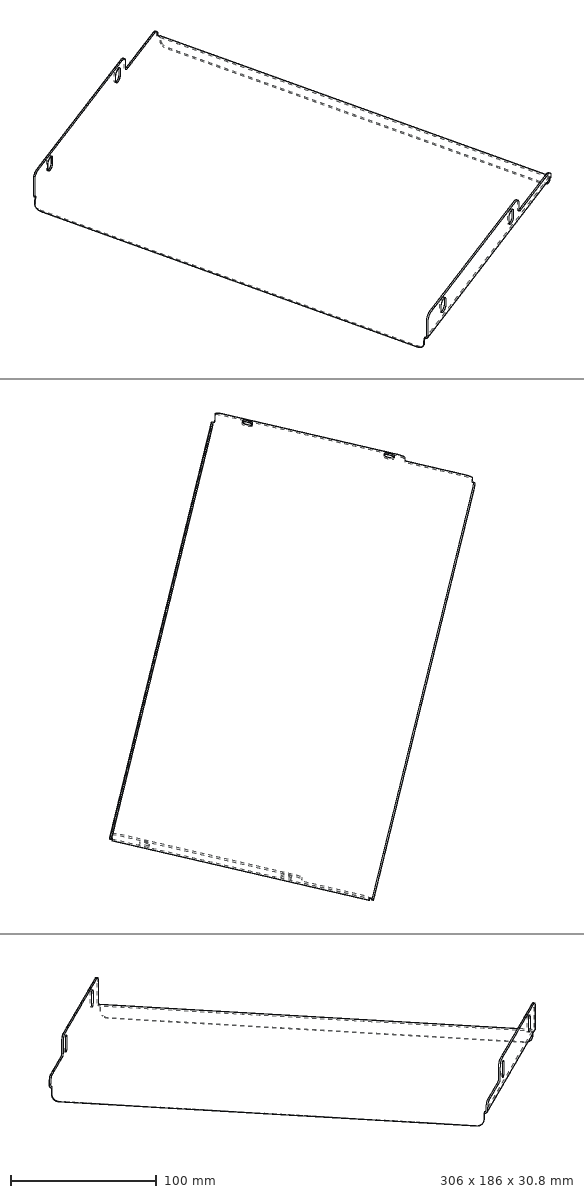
import cadquery as cq

LENGTH_X = 306.0
WIDTH_Y = 186.0
THICKNESS = 1.2
BEND_INNER_RADIUS = 1.0
BEND_OUTER_RADIUS = BEND_INNER_RADIUS + THICKNESS

FLOOR_X = LENGTH_X - 2 * BEND_OUTER_RADIUS
FLOOR_Y = WIDTH_Y - 2 * BEND_OUTER_RADIUS

WALL_TOP = 22.0
WALL_STEP_DROP = 14.0
WALL_STEP_TOP = WALL_TOP - WALL_STEP_DROP
TALL_WALL_LENGTH = 134.0
WALL_STEP_Y = TALL_WALL_LENGTH - FLOOR_Y / 2
WALL_CORNER_RADIUS = 5.0
WALL_STEP_FILLET = 2.0

SLOT_WIDTH = 7.0
SLOT_HEIGHT = 12.0
UPRIGHT_ANGLE = 90.0
SLOT_SPACING = 100.0
SLOT_DEPTH_BELOW_TOP = 9.0
SLOT_CENTER_Z = WALL_TOP - SLOT_DEPTH_BELOW_TOP
REAR_SLOT_Y = 32.0
SLOT_CENTERS_Y = (REAR_SLOT_Y, REAR_SLOT_Y - SLOT_SPACING)

LIP_HEIGHT = 10.0
LIP_CORNER_RADIUS = 5.0


def bent_strip(plane, half_floor, leg_height, depth):
    """Half of the floor and one upturned leg, swept evenly to both sides of the plane."""
    outer_edge = half_floor + BEND_OUTER_RADIUS
    profile = (
        cq.Workplane(plane)
        .moveTo(0, 0)
        .lineTo(half_floor, 0)
        .radiusArc((outer_edge, BEND_OUTER_RADIUS), -BEND_OUTER_RADIUS)
        .lineTo(outer_edge, leg_height)
        .lineTo(outer_edge - THICKNESS, leg_height)
        .lineTo(outer_edge - THICKNESS, BEND_OUTER_RADIUS)
        .radiusArc((half_floor, THICKNESS), BEND_INNER_RADIUS)
        .lineTo(0, THICKNESS)
        .close()
    )
    return profile.extrude(depth / 2, both=True)


def wall_step_cut():
    """Volume that lowers the +Y part of both walls."""
    end_y = FLOOR_Y / 2
    cutter = (
        cq.Workplane("YZ")
        .moveTo(WALL_STEP_Y, WALL_STEP_TOP)
        .lineTo(end_y, WALL_STEP_TOP)
        .lineTo(end_y, WALL_TOP)
        .lineTo(WALL_STEP_Y, WALL_TOP)
        .close()
        .extrude(LENGTH_X / 2, both=True)
    )
    step_root = cq.selectors.NearestToPointSelector((0, WALL_STEP_Y, WALL_STEP_TOP))
    return cutter.edges("|X").edges(step_root).fillet(WALL_STEP_FILLET)


def wall_slots():
    """Upright slots running through both walls."""
    return (
        cq.Workplane("YZ")
        .pushPoints([(y, SLOT_CENTER_Z) for y in SLOT_CENTERS_Y])
        .slot2D(SLOT_HEIGHT, SLOT_WIDTH, UPRIGHT_ANGLE)
        .extrude(LENGTH_X / 2, both=True)
    )


def round_wall_corners(wall):
    """Round the free corners of a wall: both ends and the top of the step."""
    corners = (
        (-FLOOR_Y / 2, WALL_TOP),
        (WALL_STEP_Y, WALL_TOP),
        (FLOOR_Y / 2, WALL_STEP_TOP),
    )
    wall_middle_x = (LENGTH_X - THICKNESS) / 2
    for y, z in corners:
        corner = cq.selectors.NearestToPointSelector((wall_middle_x, y, z))
        wall = wall.edges("|X").edges(corner).fillet(WALL_CORNER_RADIUS)
    return wall


def side_wall():
    """+X half of the floor with its finished side wall."""
    wall = bent_strip("XZ", FLOOR_X / 2, WALL_TOP, FLOOR_Y)
    wall = wall.cut(wall_step_cut())
    wall = round_wall_corners(wall)
    return wall.cut(wall_slots())


def end_lip():
    """+Y half of the floor with its downturned lip."""
    upturned = bent_strip("YZ", FLOOR_Y / 2, LIP_HEIGHT, FLOOR_X)
    upturned = upturned.edges("|Y and >Z").fillet(LIP_CORNER_RADIUS)
    return upturned.mirror("XY").translate((0, 0, THICKNESS))


wall = side_wall()
lip = end_lip()

result = wall.union(wall.mirror("YZ")).union(lip).union(lip.mirror("XZ")).clean()